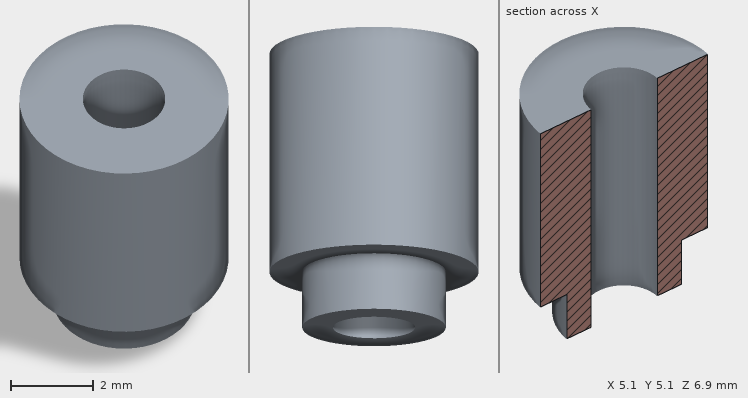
import cadquery as cq

total_height = 6.9
spigot_height = 1.4
body_diameter = 5.1
spigot_diameter = 3.5
bore_diameter = 2.01

body_height = total_height - spigot_height

spigot = cq.Workplane("XY").circle(spigot_diameter / 2).extrude(spigot_height)
body = (
    cq.Workplane("XY")
    .workplane(offset=spigot_height)
    .circle(body_diameter / 2)
    .extrude(body_height)
)
bore = cq.Workplane("XY").circle(bore_diameter / 2).extrude(total_height)

result = spigot.union(body).cut(bore)